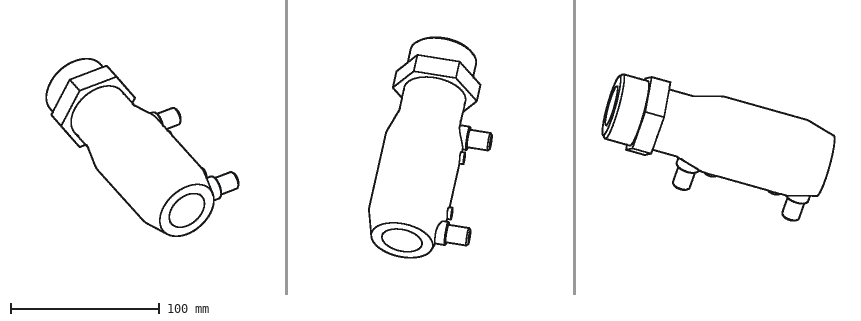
import cadquery as cq
import math

length = 151.0
hex_start = 19.3
hex_end = 32.6
neck_end = 52.0
body_start = 71.4
body_end = 131.0

spigot_radius = 22.6
spigot_chamfer = 2.0
neck_radius = 21.1
body_diameter = 53.0
body_radius = body_diameter / 2
bore_radius = 13.7
hex_across_flats = 50.0
hex_across_corners = hex_across_flats / math.cos(math.pi / 6)

terminal_positions = (62.8, 140.0)
collar_radius = 8.0
collar_top = 29.0
collar_chamfer = 0.6
pin_radius = 6.0
pin_top = 44.1
pin_chamfer = 1.2
indicator_positions = (79.0, 123.8)
indicator_radius = 4.1
indicator_top = 29.0
stud_root = 16.6


def turned_sleeve():
    """Spigot, neck and tapered body, revolved about X."""
    profile = (
        cq.Workplane("XY")
        .moveTo(0, 0)
        .lineTo(0, spigot_radius - spigot_chamfer)
        .lineTo(spigot_chamfer, spigot_radius)
        .lineTo(hex_start, spigot_radius)
        .lineTo(hex_start, neck_radius)
        .lineTo(neck_end, neck_radius)
        .lineTo(body_start, body_radius)
        .lineTo(body_end, body_radius)
        .lineTo(length, neck_radius)
        .lineTo(length, 0)
        .close()
    )
    return profile.revolve(360, (0, 0, 0), (1, 0, 0))


def hexagon():
    """Wrench hexagon with corners at +Y and -Y."""
    return (
        cq.Workplane("YZ", origin=(hex_start, 0, 0))
        .polygon(6, hex_across_corners)
        .extrude(hex_end - hex_start)
    )


def stud(x, radius, top):
    """Cylinder along +Y from inside the wall up to the given Y."""
    return (
        cq.Workplane("XZ", origin=(x, stud_root, 0))
        .circle(radius)
        .extrude(stud_root - top)
    )


def terminal(x):
    """Contact pin with a wider collar, both chamfered at the tip."""
    collar = stud(x, collar_radius, collar_top).faces(">Y").chamfer(collar_chamfer)
    pin = stud(x, pin_radius, pin_top).faces(">Y").chamfer(pin_chamfer)
    return collar.union(pin)


result = turned_sleeve().union(hexagon())
for position in terminal_positions:
    result = result.union(terminal(position))
for position in indicator_positions:
    result = result.union(stud(position, indicator_radius, indicator_top))

bore = cq.Workplane("YZ").circle(bore_radius).extrude(length)
result = result.cut(bore)